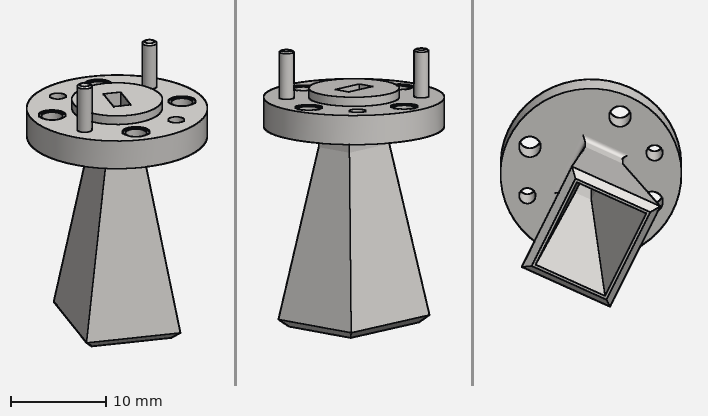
import cadquery as cq

total_height = 29.55
pin_length = 5.08
boss_height = 0.97
flange_thickness = 3.13
flare_top = 19.25
mouth_bevel = 0.8
flange_top = total_height - pin_length
flange_bottom = flange_top - flange_thickness

flange_diameter = 19.05
boss_diameter = 9.55

screw_hole_radius = 7.12
screw_hole_diameter = 2.27
screw_recess_diameter = 2.87
screw_recess_depth = 0.15

pin_offset = 5.02
pin_diameter = 1.57
pin_chamfer_height = 0.18
pin_chamfer_width = 0.25
pin_hole_diameter = 1.7

guide_width = 3.8
guide_depth = 1.9
wall = 1.25
neck_fillet = 0.5
neck_width = guide_width + 2 * wall
neck_depth = guide_depth + 2 * wall

horn_width = 12.35
horn_depth = 10.3


def block(width, depth, bottom, top):
    """Straight rectangular prism centred on the Z axis."""
    return cq.Workplane("XY", origin=(0, 0, bottom)).rect(width, depth).extrude(top - bottom)


def taper(bottom_width, bottom_depth, bottom, top_width, top_depth, top):
    """Four-sided tapered prism centred on the Z axis."""
    return (
        cq.Workplane("XY", origin=(0, 0, bottom))
        .rect(bottom_width, bottom_depth)
        .workplane(offset=top - bottom)
        .rect(top_width, top_depth)
        .loft(ruled=True)
    )


def cylinders(points, diameter, bottom, top):
    """Equal vertical cylinders at the given points."""
    return (
        cq.Workplane("XY", origin=(0, 0, bottom))
        .pushPoints(points)
        .circle(diameter / 2)
        .extrude(top - bottom)
    )


def make_flange_and_neck():
    """Round flange with its boss, blended into the rectangular neck."""
    centre = [(0, 0)]
    flange = cylinders(centre, flange_diameter, flange_bottom, flange_top)
    neck = block(neck_width, neck_depth, flare_top, flange_bottom)
    joint = cq.selectors.BoxSelector(
        (-neck_width, -neck_depth, flange_bottom - 0.03),
        (neck_width, neck_depth, flange_bottom + 0.03),
    )
    blended = flange.union(neck).edges("|X or |Y").edges(joint).fillet(neck_fillet)
    boss = cylinders(centre, boss_diameter, flange_top, flange_top + boss_height)
    return blended.union(boss)


def make_horn():
    """Outer flare with a 45 degree bevel around the mouth."""
    flare = taper(horn_width, horn_depth, mouth_bevel, neck_width, neck_depth, flare_top)
    mouth_width = horn_width - 2 * mouth_bevel
    mouth_depth = horn_depth - 2 * mouth_bevel
    bevel = taper(mouth_width, mouth_depth, 0, horn_width, horn_depth, mouth_bevel)
    return flare.union(bevel)


def make_passage():
    """Waveguide bore that flares parallel to the outside of the horn."""
    guide = block(guide_width, guide_depth, flare_top, flange_top + boss_height)
    flare_height = flare_top - mouth_bevel
    growth = flare_top / flare_height
    mouth_width = guide_width + (horn_width - neck_width) * growth
    mouth_depth = guide_depth + (horn_depth - neck_depth) * growth
    return guide.union(taper(mouth_width, mouth_depth, 0, guide_width, guide_depth, flare_top))


def make_screw_holes():
    """Four through holes, each with a shallow recess at the top face."""
    r = screw_hole_radius
    points = [(r, 0), (0, r), (-r, 0), (0, -r)]
    holes = cylinders(points, screw_hole_diameter, flange_bottom, flange_top)
    recess_bottom = flange_top - screw_recess_depth
    return holes.union(cylinders(points, screw_recess_diameter, recess_bottom, flange_top))


def make_pins():
    """Two pins with chamfered tips, rooted in the flange."""
    points = [(-pin_offset, pin_offset), (pin_offset, -pin_offset)]
    pins = cylinders(points, pin_diameter, flange_bottom, total_height)
    return pins.faces(">Z").edges().chamfer(pin_chamfer_height, pin_chamfer_width)


pin_hole_points = [(pin_offset, pin_offset), (-pin_offset, -pin_offset)]
pin_holes = cylinders(pin_hole_points, pin_hole_diameter, flange_bottom, flange_top)

result = (
    make_flange_and_neck()
    .union(make_horn())
    .cut(make_passage())
    .cut(make_screw_holes())
    .cut(pin_holes)
    .union(make_pins())
)